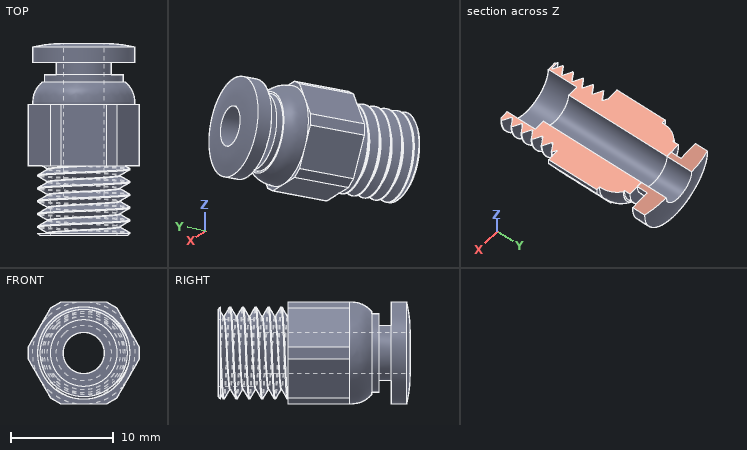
import cadquery as cq
import math


end_disc_top = 0.22
bore_depth = 3.5
hex_bottom = 6.8
hex_top = 12.8
dome_bottom = 13.0
dome_top = 15.0
collar_top = 15.7
button_bottom = 16.88
button_edge_top = 18.4
button_top = 18.75

tube_hole_diameter = 4.0
bore_diameter = 6.5
dome_base_diameter = 10.0
dome_top_diameter = 8.08
collar_diameter = 7.7
neck_diameter = 5.4
button_diameter = 10.0

hex_across_flats = 10.0
hex_across_trimmed_corners = 10.85

thread_diameter = 9.0
thread_root_diameter = 7.15
thread_pitch = 3.75 / 3
thread_flank_angle = 30.0
thread_root_flat = 0.08
groove_start_height = -0.4
groove_overshoot = 0.04
end_chamfer_width = 0.25
end_chamfer_height = 0.2


def cylinder(diameter, bottom, top):
    """Solid cylinder about the Y axis between two heights."""
    return (
        cq.Workplane("XZ", origin=(0, bottom, 0))
        .circle(diameter / 2)
        .extrude(bottom - top)
    )


def hex_prism(across_flats, turn):
    """Hexagonal prism about the Y axis; turned 0 degrees it has corners on the X axis."""
    across_corners = across_flats / math.cos(math.radians(30))
    return (
        cq.Workplane("XZ", origin=(0, hex_bottom, 0))
        .polygon(6, across_corners)
        .extrude(hex_bottom - hex_top)
        .rotate((0, 0, 0), (0, 1, 0), turn)
    )


def make_nut():
    """Wrench hexagon whose corners are trimmed by a second, turned hexagon."""
    return hex_prism(hex_across_flats, 0).intersect(hex_prism(hex_across_trimmed_corners, 30))


def make_dome():
    """Short cylinder that curves in tangentially to a flat top."""
    base_radius = dome_base_diameter / 2
    top_radius = dome_top_diameter / 2
    return (
        cq.Workplane("XY")
        .moveTo(0, hex_top)
        .lineTo(base_radius, hex_top)
        .lineTo(base_radius, dome_bottom)
        .tangentArcPoint((top_radius, dome_top), relative=False)
        .lineTo(0, dome_top)
        .close()
        .revolve(360, (0, 0, 0), (0, 1, 0))
    )


def make_thread_groove():
    """Helical V-groove about the Y axis, longer than the threaded length at both ends."""
    root_radius = thread_root_diameter / 2
    outer_radius = thread_diameter / 2 + groove_overshoot
    root_half_width = thread_root_flat / 2
    flank_rise = (outer_radius - root_radius) * math.tan(math.radians(thread_flank_angle))
    outer_half_width = root_half_width + flank_rise
    helix_height = hex_bottom + thread_pitch - groove_start_height
    helix = cq.Wire.makeHelix(thread_pitch, helix_height, root_radius)
    groove = (
        cq.Workplane("XZ")
        .polyline([
            (root_radius, -root_half_width),
            (outer_radius, -outer_half_width),
            (outer_radius, outer_half_width),
            (root_radius, root_half_width),
        ])
        .close()
        .sweep(cq.Workplane(helix), isFrenet=True)
    )
    return groove.rotate((0, 0, 0), (1, 0, 0), -90).translate((0, groove_start_height, 0))


def make_threaded_shank():
    """Grooved shank standing on a plain disc with a chamfered end.

    The groove is cut into an over-long shank that encloses it, then trimmed to the threaded length.
    """
    long_shank = cylinder(
        thread_diameter,
        groove_start_height - thread_pitch,
        hex_bottom + 2 * thread_pitch,
    )
    threaded_length = cylinder(2 * thread_diameter, end_disc_top, hex_bottom)
    shank = long_shank.cut(make_thread_groove()).intersect(threaded_length)
    end_disc = (
        cylinder(thread_diameter, 0, end_disc_top)
        .faces("<Y")
        .chamfer(end_chamfer_height, end_chamfer_width)
    )
    return shank.union(end_disc)


def make_housing():
    """Threaded shank, hexagon, dome and collar with a stepped hole through them."""
    collar = cylinder(collar_diameter, dome_top, collar_top)
    bore = cylinder(bore_diameter, 0, bore_depth)
    tube_hole = cylinder(tube_hole_diameter, 0, collar_top)
    return (
        make_threaded_shank()
        .union(make_nut())
        .union(make_dome())
        .union(collar)
        .cut(bore)
        .cut(tube_hole)
    )


def make_release_button():
    """Neck and button standing on the collar; the crown is an arc that is level at the hole edge."""
    edge_radius = button_diameter / 2
    hole_radius = tube_hole_diameter / 2
    neck_radius = neck_diameter / 2
    button = (
        cq.Workplane("XY")
        .moveTo(0, button_top)
        .lineTo(hole_radius, button_top)
        .tangentArcPoint((edge_radius, button_edge_top), relative=False)
        .lineTo(edge_radius, button_bottom)
        .lineTo(neck_radius, button_bottom)
        .lineTo(neck_radius, collar_top)
        .lineTo(0, collar_top)
        .close()
        .revolve(360, (0, 0, 0), (0, 1, 0))
    )
    return button.cut(cylinder(tube_hole_diameter, collar_top, button_top))


housing = make_housing().solids()
release_button = make_release_button().solids()
result = cq.Compound.makeCompound([housing.val(), release_button.val()])